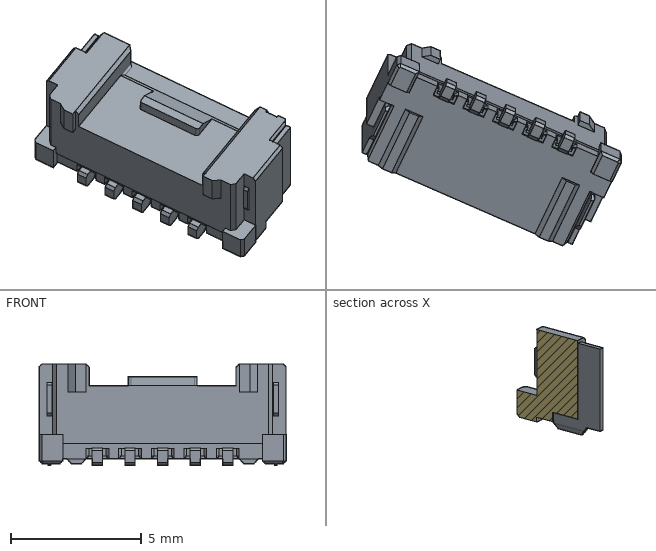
import cadquery as cq


overall_width = 9.5
overall_depth = 4.2
overall_height = 3.9
right_foot_extra = 0.01
half_width = (overall_width - right_foot_extra) / 2

core_half_width = 4.23
core_front = 0.27
core_bottom = 0.25
skirt_top = 0.84
skirt_depth = 0.08
skirt_front = core_front + skirt_depth
edge_chamfer = 0.11
edge_chamfer_width = 0.09
front_corner_chamfer = 0.15
back_corner_width = 0.12
back_corner_depth = 0.19

tower_inner = 2.81
tower_chamfer = 0.14
deck_height = 3.06
ledge_drop = 0.095
ledge_height = deck_height - ledge_drop
ledge_slope_start = 3.31
ledge_slope_end = 3.48
ledge_half_width = tower_inner - ledge_drop
ledge_slope = ledge_drop / (ledge_slope_end - ledge_slope_start)

latch_half_width = 1.33
latch_top = 3.41
latch_front = 2.26
latch_front_draft = 0.06
latch_corner_radius = 0.11
latch_ramp_start = ledge_slope_end - (latch_top - ledge_height) / ledge_slope

rib_front = 0.07
rib_bottom = 2.81
rib_inner = tower_inner + tower_chamfer
rib_face_outer = 3.35
rib_outer = 3.65

wall_front = 1.01
wall_back = 2.97
wall_bottom = 0.64
wall_leg_back = 1.77
foot_front = 0.07
foot_inner = 3.84
foot_bottom = 0.06
foot_top = 1.18
foot_chamfer = 0.11

clip_gap = 0.03
clip_inner = core_half_width + clip_gap
clip_outer = 4.45
clip_back = 4.03
clip_top = overall_height - edge_chamfer
clip_rear_bottom = 0.38
clip_tail_front = 3.37
clip_heel_back = 3.11
clip_heel_front = 1.995
clip_front = 1.81
clip_shoulder = 0.21
clip_heel_taper = 0.05
clip_front_chamfer = 0.11
clip_tip_bottom = 1.9
clip_tip_top = 3.18
clip_tip_reach = 0.1
clip_tip_chamfer = 0.1

rail_front = 1.69
rail_outer = 3.69
rail_inner = 2.945
rail_slope = 0.18

contact_count = 5
contact_pitch = 1.25
contact_width = 0.4
contact_top = 0.67
contact_back = 0.57
contact_root = 0.76
contact_tip_top = 0.57
contact_slope = 0.11
contact_tip_chamfer = 0.11
pocket_width = 0.87
pocket_taper = 0.1
pocket_top = 0.65
pocket_back = 0.63
underside_back = 0.74

mark_middle = 3.52
mark_width = 0.51
mark_height = 0.45
mark_depth = 0.09


def box(x0, x1, y0, y1, z0, z1):
    """Box between two opposite corners."""
    return cq.Workplane("XY").box(x1 - x0, y1 - y0, z1 - z0, centered=False).translate((x0, y0, z0))


def plate(points, x0, x1):
    """Extrude a (Y, Z) outline from x0 to x1."""
    return cq.Workplane("YZ", origin=(x0, 0, 0)).polyline(points).close().extrude(x1 - x0)


def post(points, z0, z1):
    """Extrude an (X, Y) outline from z0 to z1."""
    return cq.Workplane("XY", origin=(0, 0, z0)).polyline(points).close().extrude(z1 - z0)


def bar(points, y0, y1):
    """Extrude an (X, Z) outline from y0 to y1."""
    return cq.Workplane("XZ", origin=(0, y0, 0)).polyline(points).close().extrude(y0 - y1)


def both_sides(left):
    """Join a -X feature with its mirror image."""
    return left.union(left.mirror("YZ"))


def make_core():
    """Full-height block with beveled edges."""
    side = core_half_width
    front_x = side - front_corner_chamfer
    back_x = side - back_corner_width
    plan = [
        (-side, core_front + front_corner_chamfer),
        (-front_x, core_front),
        (front_x, core_front),
        (side, core_front + front_corner_chamfer),
        (side, overall_depth - back_corner_depth),
        (back_x, overall_depth),
        (-back_x, overall_depth),
        (-side, overall_depth - back_corner_depth),
    ]
    bevel_x = side - edge_chamfer_width
    section = [
        (-bevel_x, core_bottom),
        (bevel_x, core_bottom),
        (side, core_bottom + edge_chamfer),
        (side, overall_height - edge_chamfer),
        (bevel_x, overall_height),
        (-bevel_x, overall_height),
        (-side, overall_height - edge_chamfer),
        (-side, core_bottom + edge_chamfer),
    ]
    beveled = bar(section, wall_front, overall_depth)
    front = box(-side, side, core_front, wall_front, core_bottom, overall_height)
    core = post(plan, core_bottom, overall_height).intersect(beveled.union(front))
    return core.cut(box(-side, side, core_front, skirt_front, core_bottom, skirt_top))


def make_recess():
    """Space removed between the towers, with the lower ledge along the back."""
    outline = [
        (-tower_inner, deck_height),
        (tower_inner, deck_height),
        (tower_inner, overall_height - tower_chamfer),
        (tower_inner + tower_chamfer, overall_height),
        (-tower_inner - tower_chamfer, overall_height),
        (-tower_inner, overall_height - tower_chamfer),
    ]
    gap = bar(outline, 0, overall_depth)
    ledge_profile = [
        (ledge_slope_start, deck_height),
        (ledge_slope_end, ledge_height),
        (overall_depth, ledge_height),
        (overall_depth, deck_height),
    ]
    ledge_space = box(
        -tower_inner, tower_inner, ledge_slope_start, overall_depth, ledge_height, overall_height
    )
    ledge_space = ledge_space.faces("<Z").edges("|Y").fillet(ledge_drop)
    ledge = plate(ledge_profile, -tower_inner, tower_inner).intersect(ledge_space)
    corner_outer = tower_inner + tower_chamfer
    corner_size = corner_outer - ledge_half_width
    corner = post(
        [
            (-corner_outer, overall_depth),
            (-ledge_half_width, overall_depth),
            (-ledge_half_width, overall_depth - corner_size),
        ],
        ledge_height,
        overall_height,
    )
    return gap.union(ledge).union(both_sides(corner))


def make_latch():
    """Ridge with a leaning front face, rounded front corners and a long back ramp."""
    profile = [
        (latch_front, deck_height),
        (latch_front + latch_front_draft, latch_top),
        (latch_ramp_start, latch_top),
        (ledge_slope_end, ledge_height),
    ]
    ridge = plate(profile, -latch_half_width, latch_half_width)
    return ridge.faces("<Y").edges("<X or >X").fillet(latch_corner_radius)


def make_rib():
    """Guide rib on the front of the -X tower."""
    plan = [
        (-rib_outer, core_front),
        (-rib_face_outer, rib_front),
        (-rib_inner, rib_front),
        (-rib_inner, core_front),
    ]
    return post(plan, rib_bottom, overall_height)


def make_end_wall():
    """-X end wall, its short leg and the front foot."""
    wall_inner = core_half_width - edge_chamfer_width
    wall = box(-half_width, -wall_inner, wall_front, wall_back, wall_bottom, overall_height)
    wall = wall.edges("<X and >Z").chamfer(edge_chamfer)
    wall = wall.union(
        box(-half_width, -foot_inner, wall_front, wall_leg_back, core_bottom, foot_top)
    )
    return wall.union(make_foot(half_width))


def make_foot(outer):
    """-X front foot reaching out to the given distance."""
    foot = box(-outer, -foot_inner, foot_front, wall_front, foot_bottom, foot_top)
    foot = foot.edges("|Z and <X and <Y").chamfer(foot_chamfer)
    return foot.faces("<Z").edges("not >Y").chamfer(foot_chamfer)


def make_clip():
    """-X clip plate with a downward heel, and its tip standing out of the wall front."""
    profile = [
        (clip_back, clip_top),
        (clip_back, clip_rear_bottom),
        (clip_tail_front, clip_rear_bottom),
        (clip_heel_back, 0),
        (clip_heel_front, 0),
        (clip_front, clip_shoulder),
        (clip_front, clip_top),
    ]
    blade = plate(profile, -clip_outer, -clip_inner)
    blade = blade.edges("|Z and <X and <Y").chamfer(clip_front_chamfer)
    heel_section = [
        (-clip_outer, clip_top),
        (-clip_outer, clip_shoulder),
        (-clip_outer + clip_heel_taper, 0),
        (-clip_inner - clip_heel_taper, 0),
        (-clip_inner, clip_shoulder),
        (-clip_inner, clip_top),
    ]
    blade = blade.intersect(bar(heel_section, clip_front, clip_back))
    tip_profile = [
        (wall_front, clip_tip_bottom),
        (wall_front - clip_tip_reach, clip_tip_bottom + clip_tip_chamfer),
        (wall_front - clip_tip_reach, clip_tip_top - clip_tip_chamfer),
        (wall_front, clip_tip_top),
    ]
    return blade.union(plate(tip_profile, -clip_outer, -clip_inner))


def make_rail():
    """-X standing rail with sloped sides."""
    section = [
        (-rail_outer, core_bottom),
        (-rail_outer + rail_slope, foot_bottom),
        (-rail_inner - rail_slope, foot_bottom),
        (-rail_inner, core_bottom),
    ]
    return bar(section, rail_front, overall_depth)


def make_pocket():
    """Opening in the front wall around one contact, flared at the mouth and open below."""
    half = pocket_width / 2
    inner_half = half - pocket_taper
    mouth_back = skirt_front + pocket_taper
    plan = [
        (-half, skirt_front),
        (half, skirt_front),
        (inner_half, mouth_back),
        (inner_half, pocket_back),
        (-inner_half, pocket_back),
        (-inner_half, mouth_back),
    ]
    underside = [
        (skirt_front, core_bottom),
        (mouth_back, core_bottom + pocket_taper),
        (underside_back, core_bottom + pocket_taper),
        (underside_back, core_bottom),
    ]
    return post(plan, core_bottom, pocket_top).union(plate(underside, -half, half))


def make_contact():
    """One solder tail."""
    profile = [
        (contact_tip_chamfer, 0),
        (0, contact_tip_chamfer),
        (0, contact_tip_top),
        (contact_slope, contact_top),
        (contact_root, contact_top),
        (contact_root, core_bottom),
        (contact_back, 0),
    ]
    return plate(profile, -contact_width / 2, contact_width / 2)


def make_mark():
    """Triangular notch, point down."""
    outline = [
        (mark_middle - mark_width / 2, overall_height),
        (mark_middle + mark_width / 2, overall_height),
        (mark_middle, overall_height - mark_height),
    ]
    return bar(outline, overall_depth - mark_depth, overall_depth)


result = make_core().cut(make_recess()).cut(make_mark())
for side_feature in (make_rib(), make_end_wall(), make_clip(), make_rail()):
    result = result.union(both_sides(side_feature))
result = result.union(make_foot(half_width + right_foot_extra).mirror("YZ"))
result = result.union(make_latch())

for index in range(contact_count):
    place = ((index - (contact_count - 1) / 2) * contact_pitch, 0, 0)
    result = result.cut(make_pocket().translate(place))
    result = result.union(make_contact().translate(place))